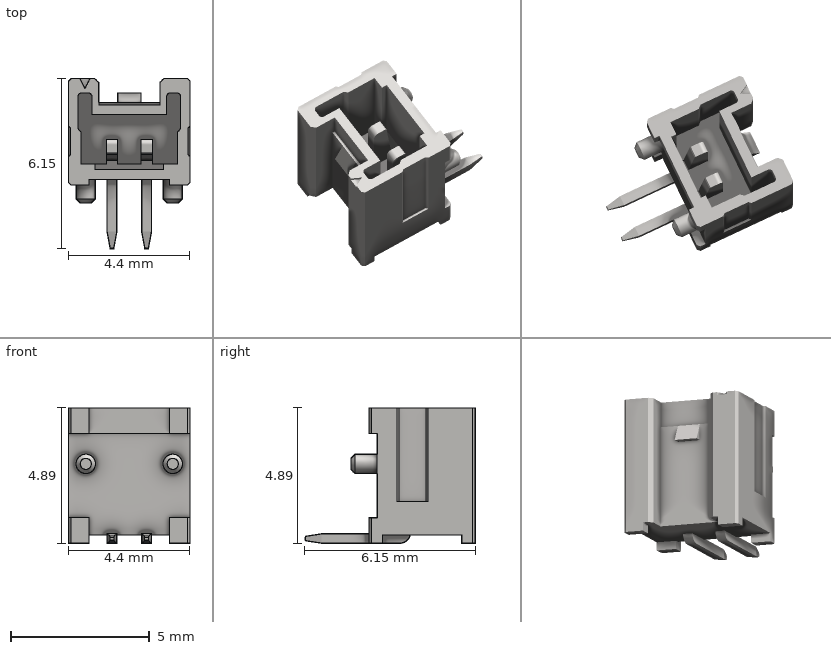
import cadquery as cq
import math


overall_depth = 6.15
housing_width = 4.4
housing_depth = 3.85
housing_height = 4.89
half_width = housing_width / 2
corner_chamfer = 0.1
underside_z = 0.3
front_face_y = 0.3
band_y = 0.2
band_bottom_z = 3.96

lug_width = 0.75
lug_height = housing_height - band_bottom_z
foot_length = 0.5

notch_half_width = 1.1
notch_chamfer = 0.15
rear_wall_y = 2.99
rear_wall_top_y = 2.9
rear_step_z = band_bottom_z

wedge_width = 0.85
wedge_rear_y = 3.33
ramp_angle = 60
ramp_slope = math.tan(math.radians(ramp_angle))

floor_z = 1.5
cavity_front_y = 0.77
cavity_rear_y = 2.54
cavity_front_half_width = 1.735
cavity_half_width = 1.85
taper_start_y = 1.9
taper_end_y = 2.035
arm_slot_inner_x = 1.35
arm_slot_rear_y = 3.33
arm_slot_radius = 0.13

recess_half_width = 1.24
recess_front_y = 0.565
ramp_top_z = floor_z + (cavity_front_y - recess_front_y) * ramp_slope

groove_depth = 0.08
groove_front_y = 1.017
groove_rear_y = 2.137
groove_bottom_z = 1.516

mark_x = -1.6
mark_width = 0.37
mark_length = 0.36
mark_depth = 0.1

peg_spacing = 3.14
peg_z = 2.87
peg_radius = 0.35
peg_chamfer = 0.15
peg_tip_y = -0.65

contact_pitch = 1.25
contact_width = 0.41
contact_front_y = 0.88
contact_rear_y = 1.65
contact_top_front_y = 1.11
contact_top_z = 3.5
contact_front_angle = 7
contact_rear_radius = 0.2
contact_tip_chamfer = 0.045
slot_front_z = floor_z - (contact_front_y - cavity_front_y) * ramp_slope

leg_width = 0.36
leg_height = 0.35
bend_radius = 0.4
bend_start_y = 1.11
leg_taper_y = -1.69
leg_tip_y = -2.27
leg_end_y = housing_depth - overall_depth
leg_tip_width = 0.14
leg_tip_height = 0.17
leg_end_height = 0.09


def box(x0, x1, y0, y1, z0, z1):
    """Box between two opposite corners."""
    return cq.Workplane("XY").box(x1 - x0, y1 - y0, z1 - z0, centered=False).translate((x0, y0, z0))


def side_profile(points, x_center, width):
    """Extrude a closed (Y, Z) outline across X."""
    outline = cq.Workplane("YZ").polyline(points).close()
    return outline.extrude(width / 2, both=True).translate((x_center, 0, 0))


def mirrored_in_x(solid):
    return solid.union(solid.mirror("YZ"))


def make_shell():
    """Solid housing block with feet, front lugs and rear arms."""
    shell = box(-half_width, half_width, 0, housing_depth, 0, housing_height)
    shell = shell.edges("|Z").chamfer(corner_chamfer)

    inner = half_width - lug_width
    middle_top_z = housing_height - lug_height
    shell = shell.cut(box(-half_width, half_width, 0, front_face_y, lug_height, middle_top_z))
    shell = shell.cut(box(-inner, inner, 0, front_face_y, 0, middle_top_z))
    shell = shell.cut(box(-inner, inner, 0, band_y, middle_top_z, housing_height))

    notch = box(-notch_half_width, notch_half_width, rear_wall_y, housing_depth, 0, housing_height)
    shell = shell.cut(notch)
    arm_edges = cq.selectors.BoxSelector(
        (-notch_half_width - corner_chamfer, housing_depth - corner_chamfer, 0),
        (notch_half_width + corner_chamfer, housing_depth + corner_chamfer, housing_height),
    )
    shell = shell.edges("|Z").edges(arm_edges).chamfer(notch_chamfer)
    upper_step = box(
        -notch_half_width, notch_half_width, rear_wall_top_y, rear_wall_y, rear_step_z, housing_height
    )
    shell = shell.cut(upper_step)

    foot_rear_y = housing_depth - foot_length
    shell = shell.cut(box(-inner, inner, 0, housing_depth, 0, underside_z))
    return shell.cut(box(-half_width, half_width, foot_length, foot_rear_y, 0, underside_z))


def make_wedge():
    height = (wedge_rear_y - rear_wall_y) * ramp_slope
    points = [
        (rear_wall_top_y, rear_step_z),
        (rear_wall_y, rear_step_z),
        (wedge_rear_y, rear_step_z - height),
        (rear_wall_top_y, rear_step_z - height),
    ]
    return side_profile(points, 0, wedge_width)


def make_cavity():
    """Main cavity with a rounded slot reaching into each arm, plus the front recess."""
    half_outline = [
        (0, cavity_front_y),
        (cavity_front_half_width, cavity_front_y),
        (cavity_front_half_width, taper_start_y),
        (cavity_half_width, taper_end_y),
        (cavity_half_width, arm_slot_rear_y),
        (arm_slot_inner_x, arm_slot_rear_y),
        (arm_slot_inner_x, cavity_rear_y),
        (0, cavity_rear_y),
    ]
    depth = housing_height - floor_z
    half = cq.Workplane("XY").workplane(offset=floor_z).polyline(half_outline).close().extrude(depth)
    half = half.edges("|Z and >Y").fillet(arm_slot_radius)

    recess_points = [
        (cavity_front_y, floor_z),
        (recess_front_y, ramp_top_z),
        (recess_front_y, housing_height),
        (cavity_front_y, housing_height),
    ]
    recess = side_profile(recess_points, 0, 2 * recess_half_width)
    return mirrored_in_x(half).union(recess)


def make_slot_relief(x):
    """Continuation of the cavity ramp below the floor, in front of a contact."""
    points = [
        (cavity_front_y, floor_z),
        (contact_front_y, slot_front_z),
        (contact_front_y, floor_z),
    ]
    return side_profile(points, x, contact_width)


def make_groove():
    """Shallow groove with sloped sides in the +X side of the housing."""
    inner_x = half_width - groove_depth
    outline = [
        (half_width, groove_front_y),
        (inner_x, groove_front_y + groove_depth),
        (inner_x, groove_rear_y - groove_depth),
        (half_width, groove_rear_y),
    ]
    start = cq.Workplane("XY").workplane(offset=groove_bottom_z)
    return start.polyline(outline).close().extrude(housing_height - groove_bottom_z)


def make_mark():
    outline = [
        (mark_x - mark_width / 2, housing_depth),
        (mark_x, housing_depth - mark_length),
        (mark_x + mark_width / 2, housing_depth),
    ]
    start = cq.Workplane("XY").workplane(offset=housing_height - mark_depth)
    return start.polyline(outline).close().extrude(mark_depth)


def make_peg():
    """Peg on the +X side, chamfered at its tip."""
    peg = cq.Workplane("XZ").circle(peg_radius).extrude(front_face_y - peg_tip_y)
    peg = peg.faces("<Y").chamfer(peg_chamfer)
    return peg.translate((peg_spacing / 2, front_face_y, peg_z))


def leg_frustum(start_y, end_y, start_size, end_size):
    """Tapered length of leg running toward -Y; sizes are (width, height)."""
    frustum = cq.Workplane("XZ").rect(*start_size)
    frustum = frustum.workplane(offset=start_y - end_y).rect(*end_size).loft(ruled=True)
    return frustum.translate((0, start_y, leg_height / 2))


def make_contact(x):
    """Upright blade joined by a bend to the leg that leaves under the front wall."""
    taper_run = contact_top_front_y - contact_front_y
    taper_drop = taper_run / math.tan(math.radians(contact_front_angle))
    chamfer_bottom_z = contact_top_z - contact_tip_chamfer
    blade_points = [
        (contact_front_y, bend_radius),
        (contact_rear_y, bend_radius),
        (contact_rear_y, contact_top_z),
        (contact_top_front_y + contact_tip_chamfer, contact_top_z),
        (contact_top_front_y, chamfer_bottom_z),
        (contact_front_y, chamfer_bottom_z - taper_drop),
    ]
    blade = side_profile(blade_points, 0, contact_width)
    blade = blade.edges("|X and >Y and >Z").fillet(contact_rear_radius)

    bend = cq.Workplane("YZ").center(bend_start_y, bend_radius).circle(bend_radius)
    bend = bend.extrude(leg_width / 2, both=True)
    leg = box(-leg_width / 2, leg_width / 2, leg_taper_y, bend_start_y, 0, leg_height)

    leg_size = (leg_width, leg_height)
    tip_size = (leg_tip_width, leg_tip_height)
    end_size = (leg_tip_width, leg_end_height)
    taper = leg_frustum(leg_taper_y, leg_tip_y, leg_size, tip_size)
    tip = leg_frustum(leg_tip_y, leg_end_y, tip_size, end_size)
    return blade.union(bend).union(leg).union(taper).union(tip).translate((x, 0, 0))


result = make_shell().union(make_wedge())
result = result.cut(make_cavity()).cut(mirrored_in_x(make_groove())).cut(make_mark())
result = result.union(mirrored_in_x(make_peg()))
for contact_x in (-contact_pitch / 2, contact_pitch / 2):
    result = result.cut(make_slot_relief(contact_x)).union(make_contact(contact_x))